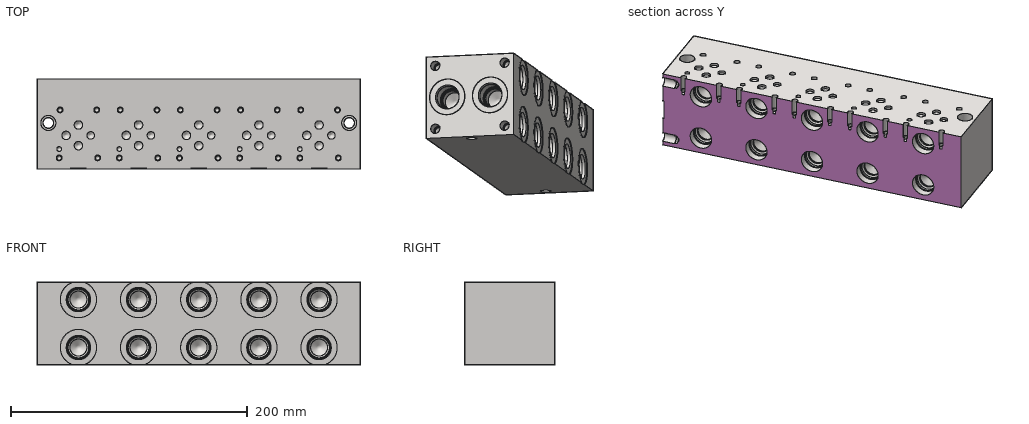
import cadquery as cq
import math

LENGTH = 273.05
WIDTH = 76.2
HEIGHT = 69.85

STATIONS = 5
STATION_PITCH = 50.8
FIRST_STATION_X = (LENGTH - (STATIONS - 1) * STATION_PITCH) / 2
STATION_XS = [FIRST_STATION_X + i * STATION_PITCH for i in range(STATIONS)]

REAR_SCREW_Y = 50.0
FRONT_SCREW_ROW = 40.5
REAR_SCREW_HALF_SPACING = 15.5
FRONT_SCREW_HALF_SPACING = 16.25
REAR_WORK_ROW = 12.7
FRONT_WORK_ROW = 30.2
SUPPLY_ROW = 21.5
SUPPLY_HALF_SPACING = 10.4
PIN_ROW = 33.0

WORK_HOLE_DIAMETER = 7.14
TANK_HOLE_DIAMETER = 7.14
PRESSURE_HOLE_DIAMETER = 6.35
VALVE_HOLE_DEPTH = 2.0
PIN_HOLE_DIAMETER = 3.96
PIN_HOLE_DEPTH = 4.0
VALVE_SCREW_DRILL = 3.79
VALVE_SCREW_THREAD = 4.83
VALVE_SCREW_THREAD_DEPTH = 12.7
VALVE_SCREW_DRILL_DEPTH = 16.0

SPOTFACE_DIAMETER = 30.63
SPOTFACE_DEPTH = 0.79
PORT_MOUTH_DIAMETER = 20.6
PORT_TAPER_END_DIAMETER = 19.25
PORT_THREAD_DIAMETER = 19.05
PORT_THREAD_DEPTH = 14.3
PORT_TAP_DRILL = 17.5
PORT_TAP_DRILL_DEPTH = 16.5
PORT_TAPER_DEPTH = 2.5
WORK_PORT_DRILL = 14.3
WORK_PORT_DEPTH = 19.05
WORK_PORT_EDGE_DISTANCE = 14.68
END_PORT_DRILL = 15.88
END_PORT_DEPTH = 25.4
PRESSURE_PORT_Y = 20.64
TANK_PORT_Y = 57.94

CORNER_HOLE_DRILL = 6.53
CORNER_HOLE_THREAD = 7.92
CORNER_HOLE_THREAD_DEPTH = 11.0
CORNER_HOLE_DRILL_DEPTH = 13.0
CORNER_HOLE_INSET = 7.92

BOLT_HOLE_DIAMETER = 8.74
BOLT_COUNTERBORE_DIAMETER = 12.7
BOLT_COUNTERBORE_DEPTH = 12.7
BOLT_HOLE_INSET = 9.525
BOLT_HOLE_Y = 39.0

DRILL_POINT_ANGLE = 118.0

DOWN = cq.Vector(0, 0, -1)
INTO_FRONT = cq.Vector(0, 1, 0)
INTO_END = cq.Vector(1, 0, 0)


def cylinder(diameter, depth, position, direction):
    return cq.Solid.makeCylinder(diameter / 2, depth, cq.Vector(*position), direction)


def cone(mouth_diameter, end_diameter, depth, position, direction):
    return cq.Solid.makeCone(mouth_diameter / 2, end_diameter / 2, depth, cq.Vector(*position), direction)


def drilled_hole(diameter, depth, position, direction):
    """Blind hole with full diameter to the given depth and a conical drill point below it."""
    bottom = cq.Vector(*position) + direction * depth
    point_height = diameter / 2 / math.tan(math.radians(DRILL_POINT_ANGLE / 2))
    point = cone(diameter, 0, point_height, bottom.toTuple(), direction)
    return cylinder(diameter, depth, position, direction).fuse(point)


def tapped_hole(thread, thread_depth, drill, drill_depth, position, direction):
    """Bore at the thread's major diameter above a deeper, narrower drilled hole."""
    threaded_bore = cylinder(thread, thread_depth, position, direction)
    return drilled_hole(drill, drill_depth, position, direction).fuse(threaded_bore)


def screw_hole(position):
    """Tapped hole for one valve mounting screw."""
    return tapped_hole(
        VALVE_SCREW_THREAD,
        VALVE_SCREW_THREAD_DEPTH,
        VALVE_SCREW_DRILL,
        VALVE_SCREW_DRILL_DEPTH,
        position,
        DOWN,
    )


def threaded_port(drill, drill_depth, position, direction):
    """Port with a spotface, a seal taper, a threaded bore, its tap drill and a narrower drill below."""
    spotface = cylinder(SPOTFACE_DIAMETER, SPOTFACE_DEPTH, position, direction)
    taper_start = cq.Vector(*position) + direction * SPOTFACE_DEPTH
    taper = cone(
        PORT_MOUTH_DIAMETER, PORT_TAPER_END_DIAMETER, PORT_TAPER_DEPTH, taper_start.toTuple(), direction
    )
    port = tapped_hole(PORT_THREAD_DIAMETER, PORT_THREAD_DEPTH, drill, drill_depth, position, direction)
    tap_drill = drilled_hole(PORT_TAP_DRILL, PORT_TAP_DRILL_DEPTH, position, direction)
    return port.fuse(tap_drill, taper, spotface)


def valve_station(x):
    """Fluid holes, locating pin hole and screw holes of one valve on the top face."""
    def on_top(offset, row):
        return (x + offset, REAR_SCREW_Y - row, HEIGHT)

    holes = [
        drilled_hole(WORK_HOLE_DIAMETER, VALVE_HOLE_DEPTH, on_top(0, REAR_WORK_ROW), DOWN),
        drilled_hole(WORK_HOLE_DIAMETER, VALVE_HOLE_DEPTH, on_top(0, FRONT_WORK_ROW), DOWN),
        drilled_hole(TANK_HOLE_DIAMETER, VALVE_HOLE_DEPTH, on_top(-SUPPLY_HALF_SPACING, SUPPLY_ROW), DOWN),
        drilled_hole(PRESSURE_HOLE_DIAMETER, VALVE_HOLE_DEPTH, on_top(SUPPLY_HALF_SPACING, SUPPLY_ROW), DOWN),
        drilled_hole(PIN_HOLE_DIAMETER, PIN_HOLE_DEPTH, on_top(-FRONT_SCREW_HALF_SPACING, PIN_ROW), DOWN),
    ]
    screw_rows = [(REAR_SCREW_HALF_SPACING, 0), (FRONT_SCREW_HALF_SPACING, FRONT_SCREW_ROW)]
    for half_spacing, row in screw_rows:
        for side in (-1, 1):
            place = on_top(side * half_spacing, row)
            holes.append(screw_hole(place))
    return holes


def work_ports(x):
    """Lower and upper work port of one station on the front face."""
    cuts = []
    for z in (WORK_PORT_EDGE_DISTANCE, HEIGHT - WORK_PORT_EDGE_DISTANCE):
        place = (x, 0, z)
        cuts.append(threaded_port(WORK_PORT_DRILL, WORK_PORT_DEPTH, place, INTO_FRONT))
    return cuts


def end_ports():
    """Pressure and tank ports in the -X end face."""
    cuts = []
    for y in (PRESSURE_PORT_Y, TANK_PORT_Y):
        place = (0, y, HEIGHT / 2)
        cuts.append(threaded_port(END_PORT_DRILL, END_PORT_DEPTH, place, INTO_END))
    return cuts


def corner_holes():
    """Four tapped holes around the end ports."""
    cuts = []
    for y in (CORNER_HOLE_INSET, WIDTH - CORNER_HOLE_INSET):
        for z in (CORNER_HOLE_INSET, HEIGHT - CORNER_HOLE_INSET):
            hole = tapped_hole(
                CORNER_HOLE_THREAD,
                CORNER_HOLE_THREAD_DEPTH,
                CORNER_HOLE_DRILL,
                CORNER_HOLE_DRILL_DEPTH,
                (0, y, z),
                INTO_END,
            )
            cuts.append(hole)
    return cuts


def bolt_holes():
    """Counterbored mounting holes near both ends, running through the full height."""
    cuts = []
    for x in (BOLT_HOLE_INSET, LENGTH - BOLT_HOLE_INSET):
        place = (x, BOLT_HOLE_Y, HEIGHT)
        cuts.append(cylinder(BOLT_HOLE_DIAMETER, HEIGHT, place, DOWN))
        cuts.append(cylinder(BOLT_COUNTERBORE_DIAMETER, BOLT_COUNTERBORE_DEPTH, place, DOWN))
    return cuts


cutters = end_ports() + corner_holes() + bolt_holes()
for station_x in STATION_XS:
    cutters += valve_station(station_x) + work_ports(station_x)

block = cq.Solid.makeBox(LENGTH, WIDTH, HEIGHT)
result = cq.Workplane(obj=block.cut(*cutters)).solids()